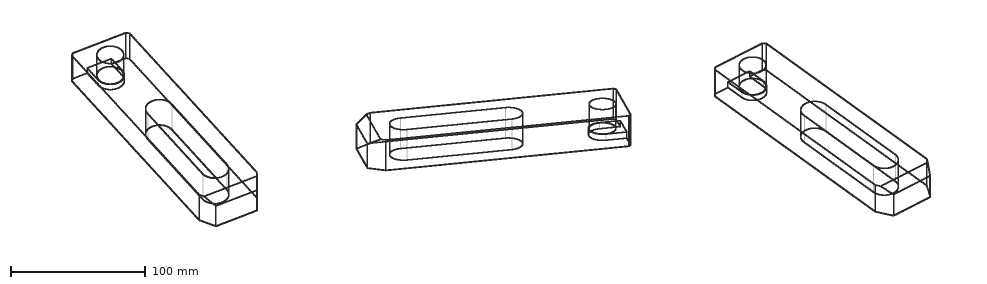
import cadquery as cq
import math

length = 200.0
width = 50.0
height = 25.0

rear_chamfer = 2.0

nose_length = 12.5
nose_angle = 30.0
nose_bevel_length = 8.8
nose_bevel_angle = 30.0

hole_diameter = 20.0
hole_x = 16.0
slot_width = 21.0
slot_start_x = 77.5
slot_end_x = 178.5
groove_depth = 5.0


def make_bar():
    """Rectangular bar with chamfered rear corners."""
    bar = cq.Workplane("XY").box(length, width, height, centered=(False, True, False))
    return bar.edges("|Z and <X").chamfer(rear_chamfer)


def taper_nose(bar):
    """Cut both sides of the nose and bevel its top edge."""
    side_cut = nose_length * math.tan(math.radians(nose_angle))
    for side in (-1, 1):
        edge_y = side * width / 2
        corner = (
            cq.Workplane("XY")
            .polyline([
                (length - nose_length, edge_y),
                (length, edge_y),
                (length, edge_y - side * side_cut),
            ])
            .close()
            .extrude(height)
        )
        bar = bar.cut(corner)
    bevel_drop = nose_bevel_length * math.tan(math.radians(nose_bevel_angle))
    bevel = (
        cq.Workplane("XZ")
        .polyline([
            (length - nose_bevel_length, height),
            (length, height),
            (length, height - bevel_drop),
        ])
        .close()
        .extrude(width / 2, both=True)
    )
    return bar.cut(bevel)


def make_hole():
    """Round through hole near the rear end."""
    return cq.Workplane("XY").center(hole_x, 0).circle(hole_diameter / 2).extrude(height)


def make_slot():
    """Long through slot with round ends."""
    slot_length = slot_end_x - slot_start_x
    slot_middle_x = (slot_start_x + slot_end_x) / 2
    return cq.Workplane("XY").center(slot_middle_x, 0).slot2D(slot_length, slot_width).extrude(height)


def make_groove():
    """Shallow underside groove from the rear face, with a round end around the hole."""
    channel = cq.Workplane("XY").box(
        hole_x, slot_width, groove_depth, centered=(False, True, False)
    )
    round_end = cq.Workplane("XY").center(hole_x, 0).circle(slot_width / 2).extrude(groove_depth)
    return channel.union(round_end)


result = taper_nose(make_bar()).cut(make_hole()).cut(make_slot()).cut(make_groove())